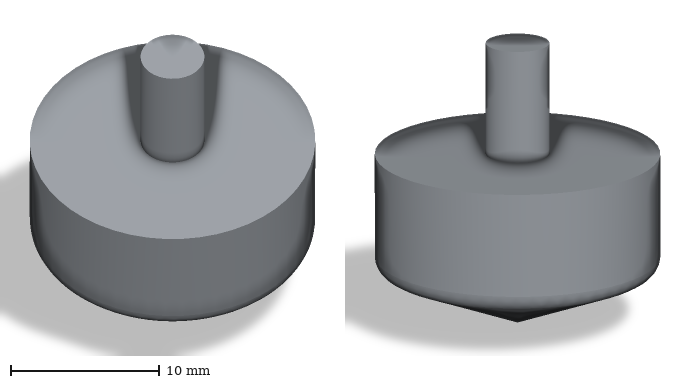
import cadquery as cq
import math

body_diameter = 19.25
pin_diameter = 4.3
total_height = 19.7
pin_length = 7.8
cone_slope = 22.3
edge_radius = 1.15

body_radius = body_diameter / 2
pin_radius = pin_diameter / 2
body_top = total_height - pin_length
cone_height = body_radius * math.tan(math.radians(cone_slope))


def make_body():
    """Cylinder that ends in a shallow cone, with a rounded edge between them."""
    half_profile = (
        cq.Workplane("XZ")
        .lineTo(body_radius, cone_height)
        .lineTo(body_radius, body_top)
        .lineTo(0, body_top)
        .close()
    )
    sharp_body = half_profile.revolve(axisStart=(0, 0), axisEnd=(0, 1))
    return sharp_body.edges("%CIRCLE").edges("<Z").fillet(edge_radius)


def make_pin():
    """Round pin standing on the flat top of the body."""
    return cq.Workplane("XY").workplane(offset=body_top).circle(pin_radius).extrude(pin_length)


result = make_body().union(make_pin())